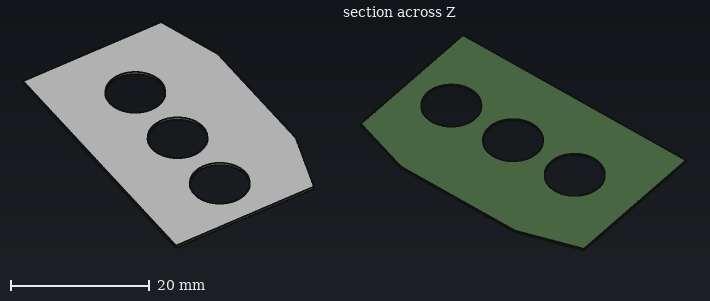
import cadquery as cq

length = 41.4
width = 26.9
thickness = 0.5

corner_run = 10.15
corner_drop = 3.3

hole_diameter = 8.65
hole_count = 3
hole_pitch = 11.43
first_hole_x = 10.7
hole_row_y = 12.45


def make_plate():
    """Flat plate with both +Y corners cut at a shallow slope."""
    outline = [
        (0, 0),
        (length, 0),
        (length, width - corner_drop),
        (length - corner_run, width),
        (corner_run, width),
        (0, width - corner_drop),
    ]
    return cq.Workplane("XY").polyline(outline).close().extrude(thickness)


def make_holes():
    """Cylinders that cut the evenly spaced row of holes."""
    centers = [(first_hole_x + i * hole_pitch, hole_row_y) for i in range(hole_count)]
    return cq.Workplane("XY").pushPoints(centers).circle(hole_diameter / 2).extrude(thickness)


result = make_plate().cut(make_holes())